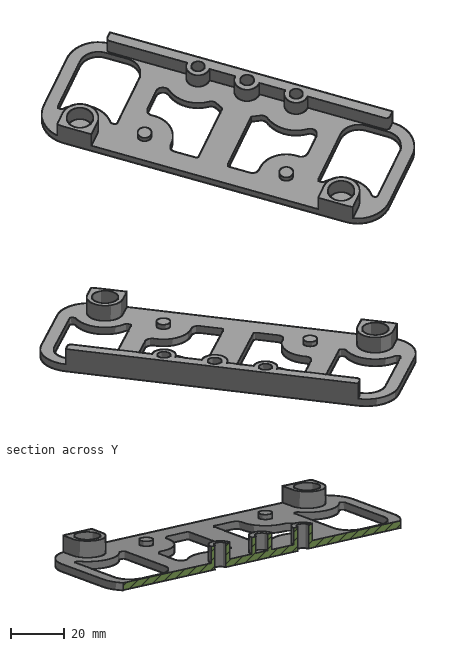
import cadquery as cq
import math

length = 138.0
width = 50.0
total_height = 9.5
plate_thickness = 3.0
corner_radius = 12.5
post_height = total_height - plate_thickness
half_width = width / 2

rail_length = length - 2 * corner_radius
rail_depth = 4.1
rail_corner_radius = 1.5

boss_y = 20.5
side_boss_x = 19.6
side_boss_diameter = 9.0
side_hole_diameter = 5.0
center_boss_diameter = 9.7
center_hole_diameter = 5.2

socket_x = 52.2
socket_y = -18.8
socket_width = 13.8
socket_hole_diameter = 10.0

pin_x = 28.3
pin_y = -13.5
pin_diameter = 5.2
pin_height = 2.0

end_window_outer_x = 63.9
end_window_inner_x = 40.2
end_window_rear_y = 20.1
end_window_front_y = -11.9
end_window_rear_radius = 7.5
end_window_front_radius = 1.0
socket_clearance_radius = 12.0

window_outer_x = 32.0
window_inner_x = 5.8
window_front_y = -16.8
window_slope_y = 9.4
window_slope_angle = 30.0
boss_clearance_radius = 12.5
pin_clearance_radius = 10.6
window_peak_radius = 2.6
window_side_radius = 2.8
window_front_radius = 2.6
window_inner_radius = 1.0


def cylinder(x, y, diameter, height, base_z=0.0):
    return cq.Workplane("XY", origin=(x, y, base_z)).circle(diameter / 2).extrude(height)


def block(x_min, x_max, y_min, y_max, height, base_z=0.0):
    size_x = x_max - x_min
    size_y = y_max - y_min
    corner = cq.Workplane("XY", origin=(x_min, y_min, base_z))
    return corner.rect(size_x, size_y, centered=False).extrude(height)


def rounded_outline(height):
    return cq.Workplane("XY").rect(length, width).extrude(height).edges("|Z").fillet(corner_radius)


def round_corner(body, x, y, radius):
    """Fillet the upright edge closest to the given place."""
    nearest = cq.selectors.NearestToPointSelector((x, y, plate_thickness / 2))
    return body.edges("|Z").edges(nearest).fillet(radius)


def both_sides(body):
    return body.union(body.mirror("YZ"))


def rail():
    front_y = half_width - rail_depth
    bar = block(-rail_length / 2, rail_length / 2, front_y, half_width, post_height, plate_thickness)
    return bar.edges("|Z and <Y").fillet(rail_corner_radius)


def rail_boss(x, diameter):
    """Boss trimmed flush with the rear edge of the plate."""
    body = cylinder(x, boss_y, diameter, post_height, plate_thickness)
    return body.intersect(rounded_outline(total_height))


def left_socket():
    half_socket = socket_width / 2
    body = cylinder(-socket_x, socket_y, socket_width, post_height, plate_thickness)
    foot = block(
        -socket_x - half_socket, -socket_x + half_socket, -half_width, socket_y, post_height, plate_thickness
    )
    return body.union(foot).intersect(rounded_outline(total_height))


def left_end_window():
    window = block(
        -end_window_outer_x, -end_window_inner_x, end_window_front_y, end_window_rear_y, plate_thickness
    )
    window = window.edges("|Z and >Y").fillet(end_window_rear_radius)
    window = window.cut(cylinder(-socket_x, socket_y, 2 * socket_clearance_radius, plate_thickness))
    return window.edges("|Z and <Y").fillet(end_window_front_radius)


def left_inner_window():
    slope_rise = boss_y - window_slope_y
    slope_end_x = -window_inner_x - slope_rise / math.tan(math.radians(window_slope_angle))
    window = (
        cq.Workplane("XY")
        .moveTo(-window_outer_x, window_front_y)
        .lineTo(-window_inner_x, window_front_y)
        .lineTo(-window_inner_x, window_slope_y)
        .lineTo(slope_end_x, boss_y)
        .lineTo(-window_outer_x, boss_y)
        .close()
        .extrude(plate_thickness)
    )
    window = window.cut(cylinder(-side_boss_x, boss_y, 2 * boss_clearance_radius, plate_thickness))
    window = window.cut(cylinder(-pin_x, pin_y, 2 * pin_clearance_radius, plate_thickness))
    window = round_corner(window, -window_outer_x, boss_y, window_peak_radius)
    window = round_corner(window, -side_boss_x + boss_clearance_radius, boss_y, window_peak_radius)
    window = round_corner(window, -window_outer_x, pin_y + pin_clearance_radius, window_side_radius)
    window = round_corner(window, -pin_x + pin_clearance_radius, window_front_y, window_front_radius)
    return round_corner(window, -window_inner_x, window_front_y, window_inner_radius)


result = rounded_outline(plate_thickness)
result = result.cut(both_sides(left_end_window()))
result = result.cut(both_sides(left_inner_window()))

result = result.union(rail())
result = result.union(both_sides(left_socket()))
result = result.union(rail_boss(0, center_boss_diameter))
for side in (-1, 1):
    result = result.union(rail_boss(side * side_boss_x, side_boss_diameter))
    result = result.union(cylinder(side * pin_x, pin_y, pin_diameter, pin_height, plate_thickness))

result = result.cut(cylinder(0, boss_y, center_hole_diameter, post_height, plate_thickness))
for side in (-1, 1):
    result = result.cut(cylinder(side * side_boss_x, boss_y, side_hole_diameter, total_height))
    result = result.cut(cylinder(side * socket_x, socket_y, socket_hole_diameter, post_height, plate_thickness))